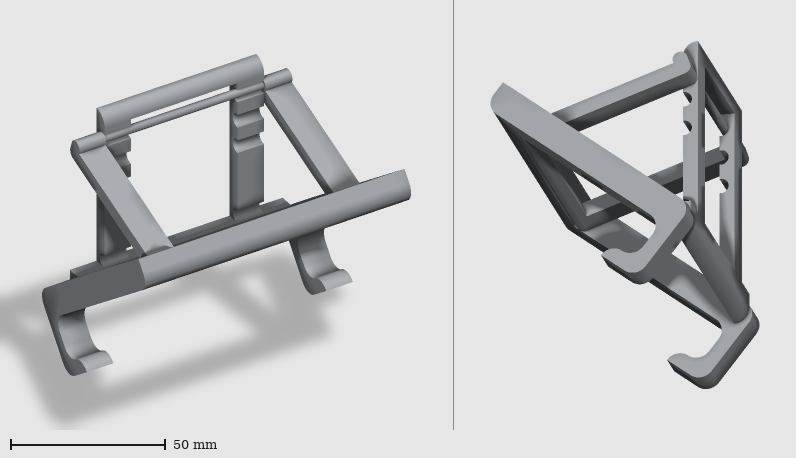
import cadquery as cq
import math


overall_width = 100.0
member_width = 10.0
round_radius = 5.0
half_width = overall_width / 2
inner_half_width = half_width - member_width
post_half_width = inner_half_width - member_width
window_half_width = post_half_width - member_width

pin_diameter = 2.0

frame_tilt = 38.2
frame_depth = 10.0
hinge_inset = 2.5
frame_start = -5.0
frame_end = 75.0
hook_drop = 30.0
hook_wall = 5.0
frame_top = hinge_inset
frame_underside = frame_top - frame_depth
hook_bottom = frame_top - hook_drop
window_end = frame_end - member_width

strut_tilt = 18.5
strut_thickness = 5.0
head_offset = 55.0
head_rise = 3.0
heel_radius = 2.5
rod_diameter = 3.0
half_strut = strut_thickness / 2
pivot_along = window_end - half_strut
pivot_across = frame_underside + half_strut

upright_thickness = 5.0
upright_top = 65.0
foot_half_height = 5.0
top_bar_height = 5.0
notch_radius = 2.5
notch_depth = 3.0
notch_heights = (7.5, 35.0, 45.0, 55.0)
upright_back = -upright_thickness / 2
upright_front = upright_thickness / 2


def sketch_at(y_end):
    """XZ workplane at y_end; positive extrusion runs toward -Y."""
    return cq.Workplane("XZ", origin=(0, y_end, 0))


def box_between(x_range, y_half, z_range):
    """Box centred on Y that spans the given X and Z ranges."""
    return (
        cq.Workplane("XY")
        .box(x_range[1] - x_range[0], 2 * y_half, z_range[1] - z_range[0], centered=(False, True, False))
        .translate((x_range[0], 0, z_range[0]))
    )


def rod_along_y(diameter, length, x, z):
    """Round rod centred on Y."""
    return sketch_at(length / 2).center(x, z).circle(diameter / 2).extrude(length)


def tilt_about_y(body, degrees):
    """Rotate about the Y axis; positive angles raise the +X end."""
    return body.rotate((0, 0, 0), (0, 1, 0), -degrees)


def place_on_frame(along, across):
    """X and Z of a point given along and across the tilted frame."""
    angle = math.radians(frame_tilt)
    x = along * math.cos(angle) - across * math.sin(angle)
    z = along * math.sin(angle) + across * math.cos(angle)
    return x, z


pivot_x, pivot_z = place_on_frame(pivot_along, pivot_across)


def make_pin(x, z):
    """Hinge pin that runs the full width."""
    return rod_along_y(pin_diameter, overall_width, x, z)


def make_frame():
    r = round_radius
    leg_inside = frame_start + hook_wall
    hook_floor = hook_bottom + hook_wall
    diagonal = r * math.sqrt(0.5)

    side_outline = (
        sketch_at(half_width)
        .moveTo(frame_start + r, frame_top)
        .lineTo(frame_end, frame_top)
        .lineTo(frame_end, frame_underside + r)
        .threePointArc(
            (frame_end - r + diagonal, frame_underside + r - diagonal), (frame_end - r, frame_underside)
        )
        .lineTo(leg_inside + r, frame_underside)
        .threePointArc(
            (leg_inside + r - diagonal, frame_underside - r + diagonal), (leg_inside, frame_underside - r)
        )
        .lineTo(leg_inside, hook_floor + r)
        .threePointArc((leg_inside + r - diagonal, hook_floor + r - diagonal), (leg_inside + r, hook_floor))
        .threePointArc(
            (leg_inside + r + diagonal, hook_floor - r + diagonal), (leg_inside + 2 * r, hook_bottom)
        )
        .lineTo(frame_start + r, hook_bottom)
        .threePointArc(
            (frame_start + r - diagonal, hook_bottom + r - diagonal), (frame_start, hook_bottom + r)
        )
        .lineTo(frame_start, frame_top - r)
        .threePointArc((frame_start + r - diagonal, frame_top - r + diagonal), (frame_start + r, frame_top))
        .close()
    )
    frame = side_outline.extrude(overall_width)

    frame = frame.cut(box_between((frame_start, window_end), inner_half_width, (hook_bottom, frame_top)))
    frame = tilt_about_y(frame, frame_tilt)
    return frame.cut(make_pin(0, 0)).cut(make_pin(pivot_x, pivot_z))


def make_strut():
    head_radius = half_strut
    strut_end = -head_offset - head_radius
    heel_diagonal = heel_radius * math.sqrt(0.5)

    side_outline = (
        sketch_at(inner_half_width)
        .moveTo(0, -half_strut)
        .threePointArc((half_strut, 0), (0, half_strut))
        .lineTo(-head_offset + head_radius, half_strut)
        .lineTo(-head_offset + head_radius, head_rise)
        .threePointArc((-head_offset, head_rise + head_radius), (strut_end, head_rise))
        .lineTo(strut_end, -half_strut + heel_radius)
        .threePointArc(
            (strut_end + heel_radius - heel_diagonal, -half_strut + heel_radius - heel_diagonal),
            (strut_end + heel_radius, -half_strut),
        )
        .close()
    )
    strut = side_outline.extrude(2 * inner_half_width)

    head_top = head_rise + head_radius
    strut = strut.cut(box_between((strut_end, -half_strut), post_half_width, (-half_strut, head_top)))

    rod = rod_along_y(rod_diameter, 2 * inner_half_width, -head_offset, head_rise)
    strut = tilt_about_y(strut.union(rod), -strut_tilt).translate((pivot_x, 0, pivot_z))
    return strut.cut(make_pin(pivot_x, pivot_z))


def make_upright():
    r = round_radius
    diagonal = r * math.sqrt(0.5)
    window_top = upright_top - top_bar_height

    panel = (
        sketch_at(post_half_width)
        .moveTo(upright_back, 0)
        .lineTo(upright_back, upright_top)
        .threePointArc(
            (upright_front - r + diagonal, upright_top - r + diagonal), (upright_front, upright_top - r)
        )
        .lineTo(upright_front, 0)
        .close()
        .extrude(2 * post_half_width)
    )
    window = box_between((upright_back, upright_front), window_half_width, (foot_half_height, window_top))

    foot = (
        sketch_at(inner_half_width)
        .moveTo(upright_back, foot_half_height)
        .lineTo(upright_front, foot_half_height)
        .lineTo(upright_front, -foot_half_height)
        .threePointArc((upright_back + r - diagonal, -foot_half_height + r - diagonal), (upright_back, 0))
        .close()
        .extrude(2 * inner_half_width)
    )
    upright = panel.cut(window).union(foot)

    notch_centre = upright_front - notch_depth + notch_radius
    for height in notch_heights:
        notch = rod_along_y(2 * notch_radius, 2 * post_half_width, notch_centre, height)
        mouth = box_between(
            (notch_centre, upright_front), post_half_width, (height - notch_radius, height + notch_radius)
        )
        upright = upright.cut(notch).cut(mouth)
    return upright.cut(make_pin(0, 0))


frame = make_frame()
strut = make_strut()
upright = make_upright()
pins = [make_pin(x, z) for x, z in ((0, 0), (pivot_x, pivot_z))]

result = cq.Compound.makeCompound([frame.val(), strut.val(), upright.val(), *[pin.val() for pin in pins]])